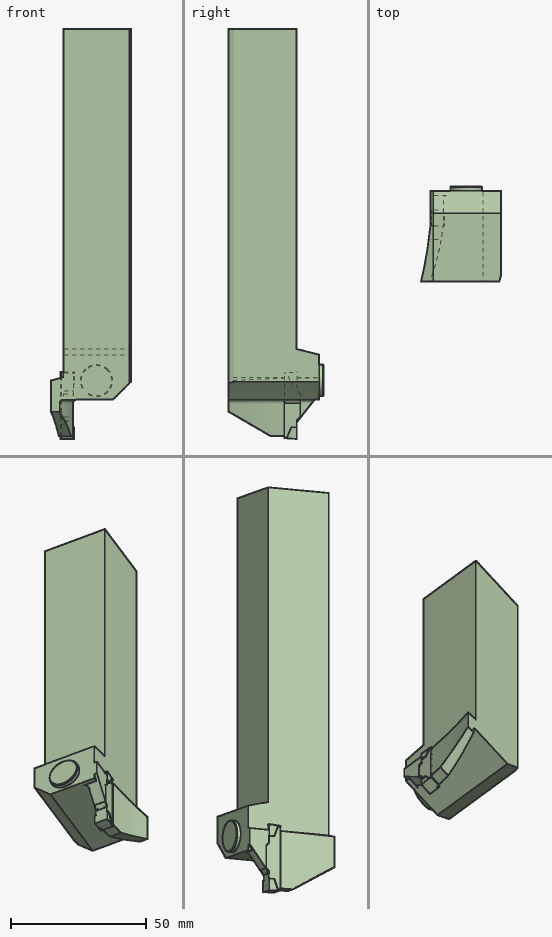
import cadquery as cq

total_length = 151.4
shank_width = 25.0
shank_depth = 25.1
head_depth = 33.5
head_shoulder_z = 31.2
head_slope_top_z = 33.3
head_bottom_z = 14.5
corner_chamfer = 6.7
edge_bevel_x = 0.6
edge_bevel_y = 2.1

screw_diameter = 11.8
screw_height = 1.7
screw_x = 12.1
screw_z = 21.6
screw_edge_chamfer = 0.3

blade_front_x = -4.5
blade_mid_x = -2.4
blade_side_x = -1.0
blade_front_thickness = 3.2
blade_inner_mid_x = 1.8
blade_inner_x = 3.6
arc_end_y = 21.2
blade_bottom_z = 1.0
blade_bottom_y = 15.6
blade_front_bottom_z = 10.1
ledge_low_z = 21.6
ledge_high_z = 22.9
blade_root_radius = 1.4
clamp_tip_y = 25.7
clamp_tip_z = 6.8
clamp_back_z = 16.6

insert_height = 24.8
insert_front_y = 20.6
insert_tip_y = 25.3
insert_waist_y = 26.5
waist_margin = 8.2
waist_slope = 1.2
tip_outer_x = 4.1
tip_height = 4.4
tip_edge_y = 23.2
tip_corner_y = 21.6
tip_corner_height = 0.6
tip_relief = 0.3
insert_face_inset = 0.3


def side_prism(points, x_start, x_end):
    """Extrude a Y-Z outline along X."""
    return cq.Workplane("YZ", origin=(x_start, 0, 0)).polyline(points).close().extrude(x_end - x_start)


def make_shank():
    body = side_prism([
        (0, head_bottom_z),
        (head_depth, head_bottom_z),
        (head_depth, head_shoulder_z),
        (shank_depth, head_slope_top_z),
        (shank_depth, total_length),
        (0, total_length),
    ], 0, shank_width)
    corner = (
        cq.Workplane("XZ")
        .polyline([
            (shank_width, head_bottom_z),
            (shank_width - corner_chamfer, head_bottom_z),
            (shank_width, head_bottom_z + corner_chamfer),
        ])
        .close()
        .extrude(-head_depth)
    )
    bevel = (
        cq.Workplane("XY")
        .polyline([
            (shank_width, 0),
            (shank_width - edge_bevel_x, 0),
            (shank_width, edge_bevel_y),
        ])
        .close()
        .extrude(total_length)
    )
    return body.cut(corner).cut(bevel)


def make_blade():
    plan = (
        cq.Workplane("XY")
        .moveTo(blade_front_x, 0)
        .threePointArc((blade_mid_x, arc_end_y / 2), (blade_side_x, arc_end_y))
        .lineTo(blade_side_x, head_depth)
        .lineTo(blade_inner_x, head_depth)
        .lineTo(blade_inner_x, arc_end_y)
        .threePointArc((blade_inner_mid_x, arc_end_y / 2), (blade_front_x + blade_front_thickness, 0))
        .close()
        .extrude(total_length)
    )
    side = side_prism([
        (0, blade_front_bottom_z),
        (blade_bottom_y, blade_bottom_z),
        (insert_front_y, blade_bottom_z),
        (clamp_tip_y, clamp_tip_z),
        (head_depth, clamp_back_z),
        (head_depth, ledge_high_z),
        (0, ledge_high_z),
    ], blade_front_x, blade_inner_x)
    ledge_cut = (
        cq.Workplane("XZ")
        .polyline([
            (blade_front_x, ledge_low_z),
            (0, ledge_high_z),
            (blade_front_x, ledge_high_z),
        ])
        .close()
        .extrude(-head_depth)
    )
    neck = (
        cq.Workplane("XY", origin=(0, 0, head_bottom_z))
        .polyline([
            (blade_front_x + blade_front_thickness / 2, 0),
            (0, arc_end_y),
            (0, 0),
        ])
        .close()
        .extrude(ledge_high_z - head_bottom_z)
    )
    return plan.intersect(side).union(neck).cut(ledge_cut)


def make_screw_head():
    return (
        cq.Workplane("XZ", origin=(screw_x, head_depth, screw_z))
        .circle(screw_diameter / 2)
        .extrude(-screw_height)
        .faces(">Y")
        .chamfer(screw_edge_chamfer)
    )


def make_insert_profile(x_start, x_end):
    return side_prism([
        (insert_front_y, tip_relief),
        (insert_tip_y, 0),
        (insert_tip_y, waist_margin - waist_slope),
        (insert_waist_y, waist_margin),
        (insert_waist_y, insert_height - waist_margin),
        (insert_tip_y, insert_height - waist_margin + waist_slope),
        (insert_tip_y, insert_height),
        (insert_front_y, insert_height - tip_relief),
    ], x_start, x_end)


def make_insert():
    body = make_insert_profile(blade_side_x + insert_face_inset, blade_inner_x)
    lower_tip = side_prism([
        (insert_front_y, tip_relief),
        (insert_tip_y, 0),
        (insert_tip_y, tip_height),
        (tip_edge_y, tip_height),
        (tip_corner_y, tip_corner_height),
        (insert_front_y, tip_corner_height),
    ], blade_side_x, tip_outer_x)
    upper_tip = lower_tip.mirror("XY", (0, 0, insert_height / 2))
    return body.union(lower_tip).union(upper_tip)


insert = make_insert()
shank_and_blade = make_shank().union(make_blade())
root_edges = shank_and_blade.edges(
    cq.selectors.BoxSelector(
        (blade_side_x, 0, head_bottom_z - blade_root_radius / 2),
        (blade_inner_x + blade_root_radius, head_depth, head_bottom_z + blade_root_radius / 2),
    )
).edges("%CIRCLE or >X")
holder = root_edges.fillet(blade_root_radius).union(make_screw_head())
seat_opening = make_insert_profile(blade_front_x, blade_side_x + insert_face_inset)
holder = holder.cut(insert).cut(seat_opening)

result = cq.Compound.makeCompound([holder.val(), insert.val()])